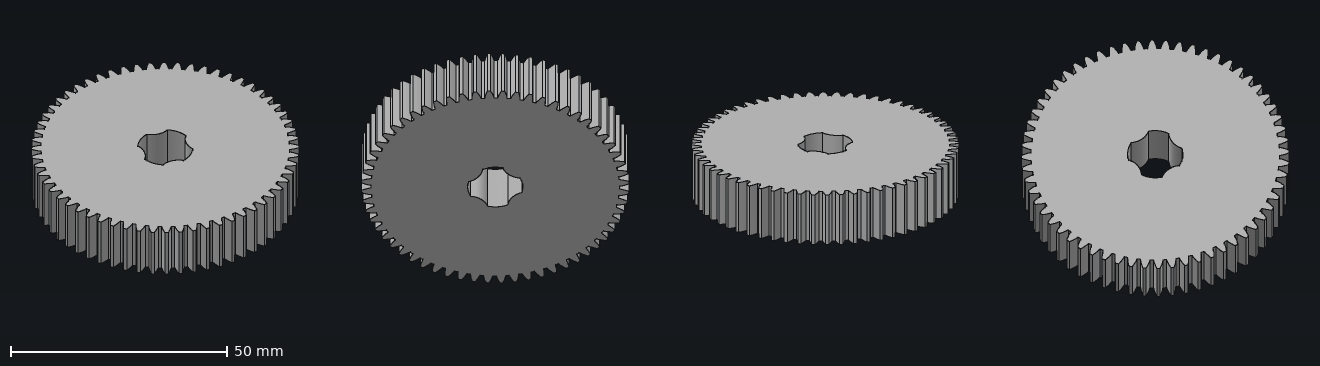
import cadquery as cq
import math

outer_diameter = 62.0
tooth_count = 60
pressure_angle = math.radians(20)
face_width = 12.5
dedendum_factor = 1.25

module = outer_diameter / (tooth_count + 2)
outer_radius = outer_diameter / 2
pitch_radius = module * tooth_count / 2
root_radius = pitch_radius - dedendum_factor * module
base_radius = pitch_radius * math.cos(pressure_angle)
tooth_pitch = 2 * math.pi / tooth_count

bore_radius = 6.4
lobe_gap = 10.2
lobe_radius = 4.65
lobe_count = 4

flank_steps = 4


def polar(radius, angle):
    return (radius * math.cos(angle), radius * math.sin(angle))


def involute(angle):
    return math.tan(angle) - angle


def half_tooth_angle(radius):
    """Angle from the tooth centreline to the involute flank at a radius."""
    local_pressure_angle = math.acos(base_radius / radius)
    return tooth_pitch / 4 + involute(pressure_angle) - involute(local_pressure_angle)


def make_gear_blank():
    flank_radii = [
        root_radius + (outer_radius - root_radius) * step / flank_steps
        for step in range(flank_steps + 1)
    ]
    root_half_angle = half_tooth_angle(root_radius)
    outline = cq.Workplane("XY").moveTo(*polar(root_radius, -root_half_angle))
    for tooth in range(tooth_count):
        centre = tooth * tooth_pitch
        rising = [polar(r, centre - half_tooth_angle(r)) for r in flank_radii]
        falling = [polar(r, centre + half_tooth_angle(r)) for r in reversed(flank_radii)]
        gap_middle = polar(root_radius, centre + tooth_pitch / 2)
        next_root = polar(root_radius, centre + tooth_pitch - root_half_angle)

        outline = outline.spline(rising[1:], includeCurrent=True)
        outline = outline.threePointArc(polar(outer_radius, centre), falling[0])
        outline = outline.spline(falling[1:], includeCurrent=True)
        outline = outline.threePointArc(gap_middle, next_root)
    return outline.close().extrude(face_width)


def make_bore():
    """Round bore with convex lobes of the hub bulging into it on the X and Y axes."""
    lobe_centre_radius = lobe_gap / 2 + lobe_radius
    lobes = (
        cq.Workplane("XY")
        .polarArray(lobe_centre_radius, 0, 360, lobe_count)
        .circle(lobe_radius)
        .extrude(face_width)
    )
    return cq.Workplane("XY").circle(bore_radius).extrude(face_width).cut(lobes)


result = make_gear_blank().cut(make_bore())